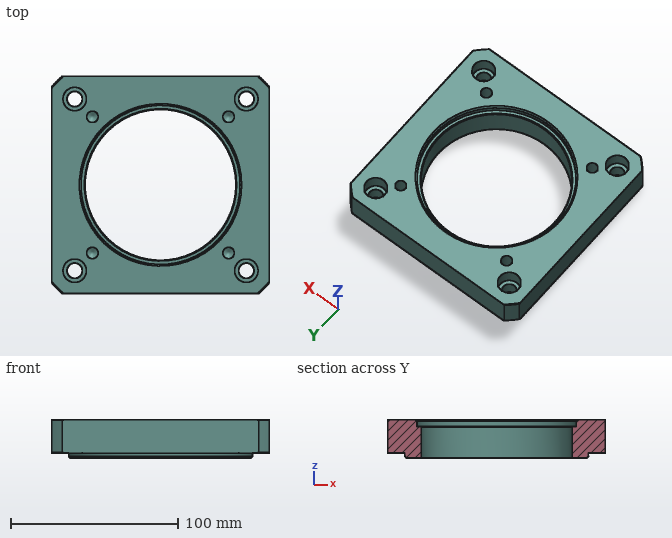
import cadquery as cq
import math

plate_side = 130.0
plate_thickness = 20.0
corner_diameter = 175.0
corner_edge_chamfer = 0.5

spigot_diameter = 110.0
spigot_height = 3.0
spigot_chamfer = 1.0

bore_diameter = 90.0
bore_chamfer = 0.5
recess_diameter = 95.0
recess_depth = 4.0
recess_chamfer = 1.0

mounting_circle_diameter = 145.0
mounting_hole_diameter = 9.0
counterbore_diameter = 14.0
counterbore_depth = 10.0

tapping_circle_diameter = 115.0
tapping_hole_diameter = 6.8
tapping_hole_depth = 15.0
drill_point_angle = 118.0


def diagonal_points(circle_diameter):
    """Four points on the plate diagonals, on a circle of the given diameter."""
    offset = circle_diameter / 2 * math.cos(math.radians(45))
    return [(x * offset, y * offset) for x in (-1, 1) for y in (-1, 1)]


def make_plate():
    turned_blank = (
        cq.Workplane("XY")
        .circle(corner_diameter / 2)
        .extrude(plate_thickness)
        .edges()
        .chamfer(corner_edge_chamfer)
    )
    square = cq.Workplane("XY").rect(plate_side, plate_side).extrude(plate_thickness)
    return square.intersect(turned_blank)


def make_spigot():
    return (
        cq.Workplane("XY")
        .circle(spigot_diameter / 2)
        .extrude(-spigot_height)
        .faces("<Z")
        .edges()
        .chamfer(spigot_chamfer)
    )


def make_bore_cutter():
    """Revolved profile of the bore, its chamfered shoulder and the chamfered recess."""
    bore_radius = bore_diameter / 2
    recess_radius = recess_diameter / 2
    shoulder_z = plate_thickness - recess_depth
    profile = [
        (0, -spigot_height),
        (bore_radius, -spigot_height),
        (bore_radius, shoulder_z - bore_chamfer),
        (bore_radius + bore_chamfer, shoulder_z),
        (recess_radius, shoulder_z),
        (recess_radius, plate_thickness - recess_chamfer),
        (recess_radius + recess_chamfer, plate_thickness),
        (0, plate_thickness),
    ]
    return cq.Workplane("XZ").polyline(profile).close().revolve(360, (0, 0), (0, 1))


def make_tapping_hole_cutter():
    radius = tapping_hole_diameter / 2
    point_height = radius / math.tan(math.radians(drill_point_angle / 2))
    bottom_z = plate_thickness - tapping_hole_depth
    profile = [
        (0, bottom_z - point_height),
        (radius, bottom_z),
        (radius, plate_thickness),
        (0, plate_thickness),
    ]
    return cq.Workplane("XZ").polyline(profile).close().revolve(360, (0, 0), (0, 1))


def cut_mounting_holes(body):
    return (
        body.faces(">Z")
        .workplane(origin=(0, 0, plate_thickness))
        .pushPoints(diagonal_points(mounting_circle_diameter))
        .cboreHole(mounting_hole_diameter, counterbore_diameter, counterbore_depth)
    )


def cut_tapping_holes(body):
    cutter = make_tapping_hole_cutter()
    for x, y in diagonal_points(tapping_circle_diameter):
        body = body.cut(cutter.translate((x, y, 0)))
    return body


body = make_plate().union(make_spigot()).cut(make_bore_cutter())
body = cut_mounting_holes(body)
result = cut_tapping_holes(body)